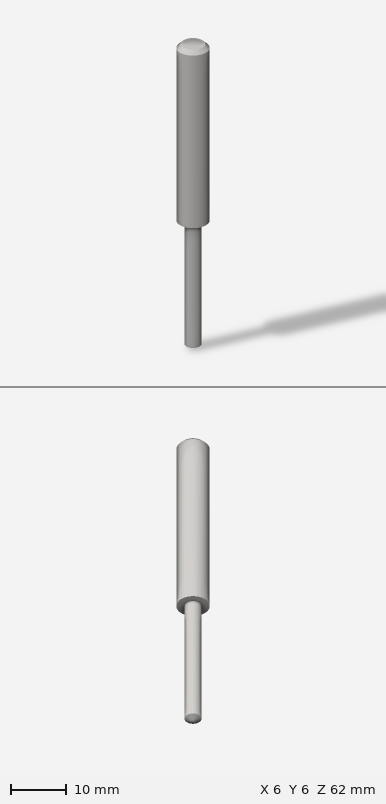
import cadquery as cq

total_length = 62.0
shank_diameter = 6.0
shank_length = 36.0
shank_chamfer = 0.8
neck_diameter = 3.1
cutter_diameter = neck_diameter
cutter_length = 9.6
point_height = 0.75

bottom_z = -total_length / 2
top_z = total_length / 2
cutter_top_z = bottom_z + cutter_length
shank_bottom_z = top_z - shank_length


def revolved(profile):
    """Solid of revolution about Z from a closed half profile of (radius, z) points."""
    return cq.Workplane("XZ").polyline(profile).close().revolve(360, (0, 0, 0), (0, 1, 0))


def make_holder():
    """Chamfered shank and the thinner neck below it, as one body."""
    shank_radius = shank_diameter / 2
    neck_radius = neck_diameter / 2
    return revolved([
        (0, cutter_top_z),
        (neck_radius, cutter_top_z),
        (neck_radius, shank_bottom_z),
        (shank_radius, shank_bottom_z),
        (shank_radius, top_z - shank_chamfer),
        (shank_radius - shank_chamfer, top_z),
        (0, top_z),
    ])


def make_cutter():
    """Cutting end with a conical point, meeting the neck at its flat top."""
    cutter_radius = cutter_diameter / 2
    return revolved([
        (0, bottom_z),
        (cutter_radius, bottom_z + point_height),
        (cutter_radius, cutter_top_z),
        (0, cutter_top_z),
    ])


holder = make_holder()
cutter = make_cutter()
result = cq.Compound.makeCompound([holder.val(), cutter.val()])